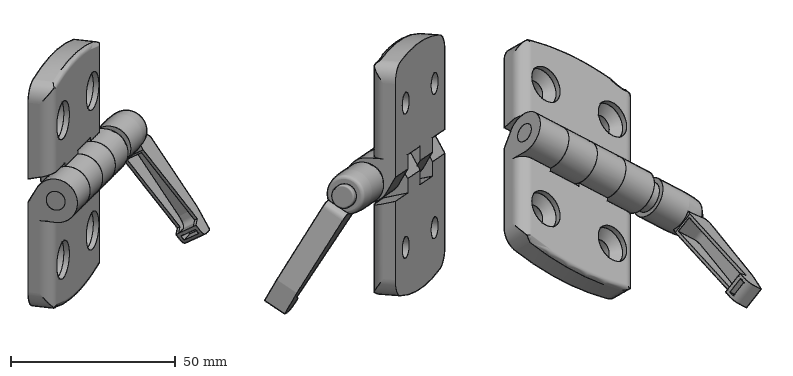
import cadquery as cq
import math


overall_length = 77.5
hinge_width = 48.0
hinge_end = hinge_width / 2

knuckle_count = 4
knuckle_width = hinge_width / knuckle_count
knuckle_radius = 7.0
knuckle_slope = math.radians(60)
pin_radius = 3.0

back_x = -8.9
plate_thickness = 7.9
front_x = back_x + plate_thickness
leaf_crest = 38.5
crown_radius = 89.9
plate_corner_radius = 6.05
side_rounding = 4.0
crown_rounding = 1.5
slot_back_z = 6.0
slot_slope = math.radians(15)

hole_spacing = 28.0
hole_z = 22.5
hole_radius = 3.3
countersink_radius = 6.0
countersink_depth = 3.1
hole_land = 3.0

collar_length = 4.0
collar_radius = 4.95
hub_length = 17.7
hub_straight_length = 11.15
hub_radius = 6.5
hub_shoulder_radius = 6.05
hub_edge_rounding = 1.0
button_height = 2.3
button_radius = 3.65
button_edge_rounding = 0.55
hub_start_y = hinge_end + collar_length
hub_straight_end_y = hub_start_y + hub_straight_length
hub_top_y = hub_start_y + hub_length

lever_angle = 60
arm_half_width = 3.7
arm_reach = 40.1
arm_outer_y = overall_length - hinge_end
arm_root_reach = 4.3
arm_bend_reach = 32.1
arm_top_slope = math.radians(11.2)
arm_root_rounding = 2.5
tip_edge_rounding = 0.5
underside_reach = 6.9
lip_root = (34.7, 49.45)
lip_edge = (35.9, 46.4)
lip_slope = math.radians(20)
lip_rounding = 3.0

wall = 1.0
hollow_half_width = arm_half_width - wall
hollow_start = hub_radius + wall
hollow_rounding = 2.0
hollow_floor_y = arm_outer_y - wall
lip_slot_start = 37.05
lip_slot_end = 38.75
lip_slot_draft = 3


def knuckle_start(index):
    """Y of the low side of a knuckle, counted from the -Y end."""
    return -hinge_end + index * knuckle_width


def extrude_along_y(profile_xz, start, length):
    """Extrude a closed XZ profile from Y = start towards +Y."""
    return profile_xz.extrude(-length).translate((0, start, 0))


def leaf_plate():
    """Plate of the upper leaf, crowned at its outer end and rounded towards the front."""
    side_top = leaf_crest - crown_radius + math.sqrt(crown_radius**2 - hinge_end**2)
    crowned = (
        cq.Workplane("YZ", origin=(back_x, 0, 0))
        .moveTo(-hinge_end, slot_back_z)
        .lineTo(-hinge_end, side_top)
        .threePointArc((0, leaf_crest), (hinge_end, side_top))
        .lineTo(hinge_end, slot_back_z)
        .close()
        .extrude(plate_thickness)
    )
    cornered = crowned.edges("|X").edges(">Z").fillet(plate_corner_radius)
    softened = crowned.faces(">X").edges(">Z").fillet(crown_rounding)
    side_rounded = (
        cq.Workplane("XY")
        .box(plate_thickness, hinge_width, leaf_crest, centered=(False, True, False))
        .translate((back_x, 0, 0))
        .edges("|Z").edges(">X")
        .fillet(side_rounding)
    )
    return cornered.intersect(softened).intersect(side_rounded)


def knuckle(index):
    """Barrel with its web to the back face; the web underside is tangent to the barrel."""
    tangent_x = -knuckle_radius * math.sin(knuckle_slope)
    tangent_z = -knuckle_radius * math.cos(knuckle_slope)
    web_bottom = tangent_z + (tangent_x - back_x) * math.tan(knuckle_slope)
    profile = (
        cq.Workplane("XZ")
        .moveTo(back_x, web_bottom)
        .lineTo(tangent_x, tangent_z)
        .threePointArc((knuckle_radius * math.sin(knuckle_slope), tangent_z), (0, knuckle_radius))
        .lineTo(back_x, knuckle_radius)
        .close()
    )
    return extrude_along_y(profile, knuckle_start(index), knuckle_width)


def knuckle_slot(index):
    """Wedge that clears a knuckle of the other leaf, sloping up towards the front."""
    slot_front_z = slot_back_z + plate_thickness * math.tan(slot_slope)
    profile = (
        cq.Workplane("XZ")
        .moveTo(back_x, 0)
        .lineTo(back_x, slot_back_z)
        .lineTo(front_x, slot_front_z)
        .lineTo(front_x, 0)
        .close()
    )
    return extrude_along_y(profile, knuckle_start(index), knuckle_width)


def screw_hole(y):
    """Hole that opens through a cone into a cylindrical head recess at the front."""
    cone_end_x = back_x + hole_land + countersink_depth
    return (
        cq.Workplane("XY")
        .moveTo(back_x, 0)
        .lineTo(back_x, hole_radius)
        .lineTo(back_x + hole_land, hole_radius)
        .lineTo(cone_end_x, countersink_radius)
        .lineTo(front_x, countersink_radius)
        .lineTo(front_x, 0)
        .close()
        .revolve(360, (0, 0, 0), (1, 0, 0))
        .translate((0, y, hole_z))
    )


def pin_cylinder():
    """Cylinder on the pivot axis over the whole hinge width."""
    return extrude_along_y(cq.Workplane("XZ").circle(pin_radius), -hinge_end, hinge_width)


def upper_leaf():
    """Leaf above the pivot."""
    leaf = leaf_plate()
    for index in range(0, knuckle_count, 2):
        leaf = leaf.cut(knuckle_slot(index))
    for index in range(1, knuckle_count, 2):
        leaf = leaf.union(knuckle(index))
    for y in (-hole_spacing / 2, hole_spacing / 2):
        leaf = leaf.cut(screw_hole(y))
    return leaf.cut(pin_cylinder())


def lower_leaf():
    """The same leaf turned half a turn, so that its knuckles fill the slots of the upper one."""
    return upper_leaf().rotate((0, 0, 0), (1, 0, 0), 180)


def lever_hub():
    """Turned hub with its collar at the hinge and its button at the outer end."""
    button_top_y = hub_top_y + button_height
    return (
        cq.Workplane("YZ")
        .moveTo(hinge_end, 0)
        .lineTo(hinge_end, collar_radius)
        .lineTo(hub_start_y, collar_radius)
        .lineTo(hub_start_y, hub_radius)
        .lineTo(hub_straight_end_y, hub_radius)
        .tangentArcPoint((hub_top_y - hub_edge_rounding, hub_shoulder_radius), relative=False)
        .tangentArcPoint((hub_top_y, hub_shoulder_radius - hub_edge_rounding), relative=False)
        .lineTo(hub_top_y, button_radius)
        .lineTo(button_top_y - button_edge_rounding, button_radius)
        .tangentArcPoint((button_top_y, button_radius - button_edge_rounding), relative=False)
        .lineTo(button_top_y, 0)
        .close()
        .revolve(360, (0, 0, 0), (1, 0, 0))
    )


def arm_top_y(reach):
    """Y of the sloping top of the arm."""
    return arm_outer_y - (arm_bend_reach - reach) * math.tan(arm_top_slope)


def arm_body():
    """Solid arm with its hooked tip, reaching along +X."""
    lip_end_y = lip_edge[1] + (arm_reach - lip_edge[0]) * math.tan(lip_slope)
    root_top_y = arm_top_y(arm_root_reach)
    body = (
        cq.Workplane("XY")
        .moveTo(arm_root_reach, hub_straight_end_y)
        .lineTo(underside_reach, hub_straight_end_y)
        .lineTo(*lip_root)
        .lineTo(*lip_edge)
        .lineTo(arm_reach, lip_end_y)
        .lineTo(arm_reach, arm_outer_y)
        .lineTo(arm_bend_reach, arm_outer_y)
        .lineTo(arm_root_reach, root_top_y)
        .close()
        .extrude(arm_half_width, both=True)
    )
    rounded_edges = [
        ((arm_root_reach, root_top_y), arm_root_rounding),
        ((arm_reach, lip_end_y), lip_rounding),
        ((arm_reach, arm_outer_y), tip_edge_rounding),
    ]
    for (reach, y), radius in rounded_edges:
        body = body.edges(cq.selectors.NearestToPointSelector((reach, y, 0))).fillet(radius)
    return body


def arm_hollow():
    """Recess in the underside of the arm, following its top at one wall thickness."""
    slope_drop = wall / math.cos(arm_top_slope)
    floor_bend_reach = arm_bend_reach + (slope_drop - wall) / math.tan(arm_top_slope)
    floor_start_y = arm_top_y(hollow_start) - slope_drop
    hollow = (
        cq.Workplane("XY")
        .moveTo(hollow_start, hub_start_y)
        .lineTo(hollow_start, floor_start_y)
        .lineTo(floor_bend_reach, hollow_floor_y)
        .lineTo(lip_edge[0], hollow_floor_y)
        .lineTo(lip_edge[0], hub_start_y)
        .close()
        .extrude(hollow_half_width, both=True)
    )
    for corner in ((hollow_start, floor_start_y, 0), (lip_edge[0], hollow_floor_y, 0)):
        hollow = hollow.edges(cq.selectors.NearestToPointSelector(corner)).fillet(hollow_rounding)
    return hollow


def lip_slot():
    """Drafted slot in the end of the hooked tip, as deep as the arm hollow."""
    middle = (lip_slot_start + lip_slot_end) / 2
    return (
        cq.Workplane("XZ", origin=(middle, lip_edge[1], 0))
        .rect(lip_slot_end - lip_slot_start, 2 * hollow_half_width)
        .extrude(-(hollow_floor_y - lip_edge[1]), taper=lip_slot_draft)
    )


def clamping_lever():
    """Hub and arm as one body, turned about the pivot axis."""
    arm = arm_body().cut(arm_hollow()).cut(lip_slot())
    return lever_hub().union(arm).rotate((0, 0, 0), (0, 1, 0), lever_angle)


leaf_above = upper_leaf()
leaf_below = lower_leaf()
pin = pin_cylinder()
lever = clamping_lever()

result = cq.Compound.makeCompound([leaf_above.val(), leaf_below.val(), pin.val(), lever.val()])